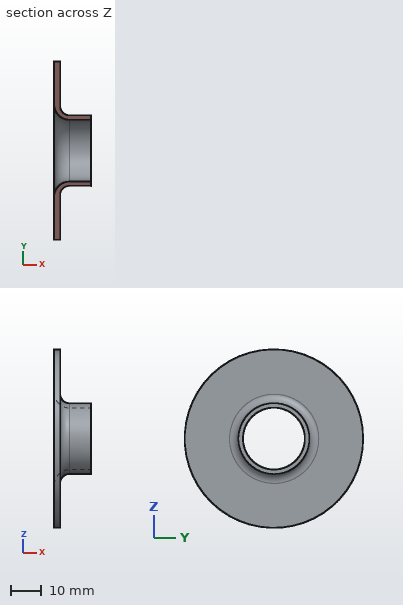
import cadquery as cq
import math

flange_diameter = 58.0
flange_thickness = 2.05
overall_length = 12.0
collar_outer_diameter = 23.0
bore_diameter = 20.0
mouth_radius = 5.0

flange_radius = flange_diameter / 2
collar_radius = collar_outer_diameter / 2
bore_radius = bore_diameter / 2
fillet_radius = mouth_radius - flange_thickness
diagonal = math.sqrt(0.5)

mouth_center_radius = bore_radius + mouth_radius
fillet_center_radius = collar_radius + fillet_radius
mouth_midpoint = (
    mouth_radius * (1 - diagonal),
    mouth_center_radius - mouth_radius * diagonal,
)
fillet_midpoint = (
    mouth_radius - fillet_radius * diagonal,
    fillet_center_radius - fillet_radius * diagonal,
)

half_section = (
    cq.Workplane("XY")
    .moveTo(0, mouth_center_radius)
    .lineTo(0, flange_radius)
    .lineTo(flange_thickness, flange_radius)
    .lineTo(flange_thickness, fillet_center_radius)
    .threePointArc(fillet_midpoint, (mouth_radius, collar_radius))
    .lineTo(overall_length, collar_radius)
    .lineTo(overall_length, bore_radius)
    .lineTo(mouth_radius, bore_radius)
    .threePointArc(mouth_midpoint, (0, mouth_center_radius))
    .close()
)

result = half_section.revolve(360, (0, 0, 0), (1, 0, 0))